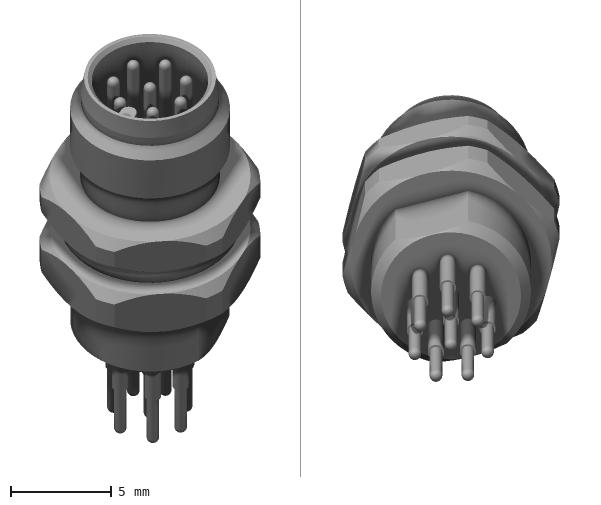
import cadquery as cq
import math

total_height = 22.5

hex_across_flats = 10.0
hex_corner_diameter = 11.0
hex_chamfer = 0.5
flange_height = 2.5
nut_height = 2.0

ring_outer_radius = 4.6
ring_tube_radius = 0.75
ring_center_radius = ring_outer_radius - ring_tube_radius
neck_radius = ring_center_radius - ring_tube_radius

barrel_radius = 3.98
edge_chamfer = 0.5
undercut_radius = barrel_radius - edge_chamfer
rear_height = 4.0
rear_flat_distance = 3.5
undercut_height = 1.48
collar_height = 2.52

shell_radius = 3.45
rim_radius = 3.28
rim_taper_height = 1.0
socket_radius = 2.9
socket_chamfer = 0.2
socket_depth = 6.0

key_width = 0.8
key_inner_distance = 2.2

pin_radius = 0.32
pin_circle_radius = 1.87
pin_pitch_angle = 50.5
pins_each_side = 3
pin_top_depth = 0.4
tail_sleeve_radius = 0.4
tail_sleeve_height = 3.0
tail_tip_height = 3.02

rear_z = tail_tip_height + tail_sleeve_height
flange_z = rear_z + rear_height
ring_z = flange_z + flange_height
nut_z = ring_z + 2 * ring_tube_radius
undercut_z = nut_z + nut_height
flare_z = undercut_z + undercut_height
collar_z = flare_z + edge_chamfer
shoulder_z = collar_z + collar_height
shell_z = shoulder_z + edge_chamfer
taper_z = total_height - rim_taper_height
socket_floor_z = total_height - socket_depth


def cylinder(radius, bottom_z, top_z):
    return cq.Workplane("XY").workplane(offset=bottom_z).circle(radius).extrude(top_z - bottom_z)


def revolve_profile(points):
    return cq.Workplane("XZ").polyline(points).close().revolve(360, (0, 0), (0, 1))


def hexagon(bottom_z, height):
    """Hexagonal prism with corners on the Y axis, trimmed by a chamfered round."""
    prism = (
        cq.Workplane("XY", origin=(0, 0, bottom_z))
        .polygon(6, hex_across_flats, circumscribed=True)
        .extrude(height)
    )
    trimming_round = cylinder(hex_corner_diameter / 2, bottom_z, bottom_z + height).edges().chamfer(hex_chamfer)
    return prism.intersect(trimming_round)


def rear_barrel():
    """Rear end with a chamfered lower edge and a wrench flat on each X side."""
    barrel = cylinder(barrel_radius, rear_z, flange_z).faces("<Z").edges().chamfer(edge_chamfer)
    flats = (
        cq.Workplane("XY", origin=(0, 0, rear_z))
        .rect(2 * rear_flat_distance, 2 * barrel_radius)
        .extrude(rear_height)
    )
    return barrel.intersect(flats)


def front_barrel():
    """Undercut, collar and tapered shell above the nut."""
    return revolve_profile([
        (0, undercut_z),
        (undercut_radius, undercut_z),
        (undercut_radius, flare_z),
        (barrel_radius, collar_z),
        (barrel_radius, shoulder_z),
        (shell_radius, shell_z),
        (shell_radius, taper_z),
        (rim_radius, total_height),
        (0, total_height),
    ])


def socket():
    """Open bore of the shell, chamfered at the rim."""
    return revolve_profile([
        (0, socket_floor_z),
        (socket_radius, socket_floor_z),
        (socket_radius, total_height - socket_chamfer),
        (socket_radius + socket_chamfer, total_height),
        (0, total_height),
    ])


def coding_key():
    """Round-nosed rib along the socket wall on the -Y side."""
    key_height = socket_depth - socket_chamfer
    nose_y = -key_inner_distance - key_width / 2
    nose = cq.Workplane("XY", origin=(0, nose_y, socket_floor_z)).circle(key_width / 2).extrude(key_height)
    rib = (
        cq.Workplane("XY", origin=(0, nose_y - socket_radius / 2, socket_floor_z))
        .rect(key_width, socket_radius)
        .extrude(key_height)
    )
    bore = cylinder(socket_radius, socket_floor_z, total_height)
    return nose.union(rib).intersect(bore)


def domed_pin(bottom_z, top_z):
    """Round pin whose two ends are hemispheres."""
    pin = cylinder(pin_radius, bottom_z + pin_radius, top_z - pin_radius)
    for center_z in (bottom_z + pin_radius, top_z - pin_radius):
        pin = pin.union(cq.Workplane("XY", origin=(0, 0, center_z)).sphere(pin_radius))
    return pin


def contact():
    """One contact: a through pin with a thicker sleeve just below the housing."""
    pin = domed_pin(0, total_height - pin_top_depth)
    return pin.union(cylinder(tail_sleeve_radius, tail_tip_height, flange_z))


def contact_positions():
    positions = [(0, 0)]
    for step in range(-pins_each_side, pins_each_side + 1):
        angle = math.radians(step * pin_pitch_angle)
        positions.append((pin_circle_radius * math.sin(angle), pin_circle_radius * math.cos(angle)))
    return positions


def make_connector():
    """Housing with its hexagons, key and contacts, as one solid."""
    connector = rear_barrel()
    connector = connector.union(hexagon(flange_z, flange_height))
    connector = connector.union(cylinder(neck_radius, ring_z, nut_z))
    connector = connector.union(hexagon(nut_z, nut_height))
    connector = connector.union(front_barrel())
    connector = connector.cut(socket())
    connector = connector.union(coding_key())
    for x, y in contact_positions():
        connector = connector.union(contact().translate((x, y, 0)))
    return connector


def make_sealing_ring():
    """Round-section ring that rests on the neck and touches both hexagons."""
    return (
        cq.Workplane("XZ", origin=(0, 0, ring_z + ring_tube_radius))
        .center(ring_center_radius, 0)
        .circle(ring_tube_radius)
        .revolve(360, (-ring_center_radius, 0), (-ring_center_radius, 1))
    )


connector = make_connector()
sealing_ring = make_sealing_ring()

result = cq.Compound.makeCompound([connector.val(), sealing_ring.val()])